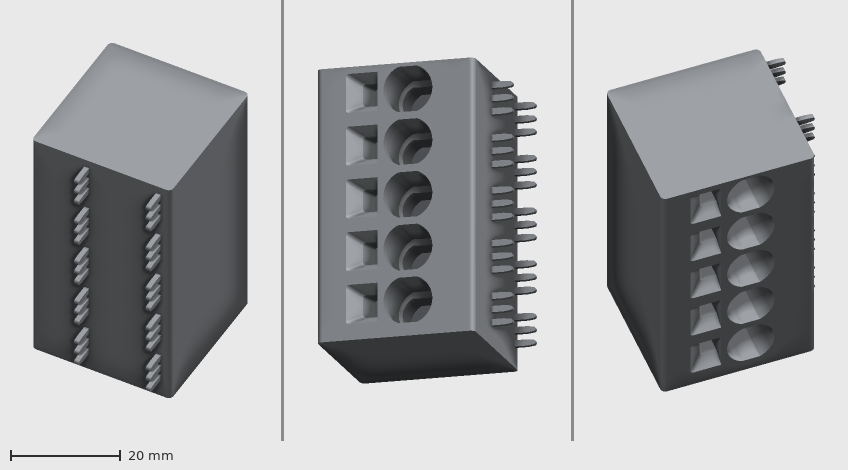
import cadquery as cq
import math

width = 29.0
depth = 30.0
height = 51.8
corner_radius = 1.0

pole_count = 5
pole_pitch = 10.0
first_pole_drop = 4.83
opening_drop = 0.18

pin_columns_x = (-3.0, 11.9)
pins_per_pole = 3
pin_pitch = 2.5
pin_width = 1.0
pin_thickness = 1.2
pin_straight = 2.35
pin_taper_end = 3.6
pin_length = 4.03
pin_taper_half = 0.45
pin_root = 1.0

release_near_y = 18.45
release_mouth_far_y = 24.45
release_throat_far_y = 21.85
release_floor_far_y = 20.75
release_mouth_height = 7.4
release_throat_height = 4.3
release_mouth_depth = 2.3
release_shaft_depth = 4.0
release_corner_radius = 0.6

entry_y = 12.65
bore_radius = 4.65
bore_half_height = 4.3
bore_depth = 10.0
funnel_angle = 55.0
shaft_depth = 6.0
shaft_half_height = 3.27
shaft_near_reach = 3.3
shaft_round_reach = 4.05
shaft_round_start = 2.0

side_x = -width / 2
pole_levels = [height / 2 - first_pole_drop - i * pole_pitch for i in range(pole_count)]


def side_plane(level, inset):
    """Plane parallel to the -X side; local x runs along +Y and local y along +Z."""
    return cq.Plane(origin=(side_x + inset, 0, level), xDir=(0, 1, 0), normal=(1, 0, 0))


def make_housing():
    block = cq.Workplane("XY").box(width, depth, height).translate((0, depth / 2, 0))
    return block.edges("|Z").fillet(corner_radius)


def make_pin(x, z):
    """Flat pin pointing along -Y, tapered near its rounded tip."""
    half = pin_thickness / 2
    profile = (
        cq.Workplane("YZ", origin=(x - pin_width / 2, 0, z))
        .moveTo(pin_root, -half)
        .lineTo(-pin_straight, -half)
        .lineTo(-pin_taper_end, -pin_taper_half)
        .threePointArc((-pin_length, 0), (-pin_taper_end, pin_taper_half))
        .lineTo(-pin_straight, half)
        .lineTo(pin_root, half)
        .close()
    )
    return profile.extrude(pin_width)


def release_section(level, inset, far_y, section_height):
    """Rectangular outline with the two corners on its +Y side rounded."""
    half = section_height / 2
    r = release_corner_radius
    k = r * (1 - math.sqrt(0.5))
    return (
        cq.Workplane(side_plane(level, inset))
        .moveTo(release_near_y, -half)
        .lineTo(far_y - r, -half)
        .threePointArc((far_y - k, -half + k), (far_y, -half + r))
        .lineTo(far_y, half - r)
        .threePointArc((far_y - k, half - k), (far_y - r, half))
        .lineTo(release_near_y, half)
        .close()
        .wire()
        .val()
    )


def make_release_opening(level):
    floor_inset = release_mouth_depth + release_shaft_depth
    mouth = release_section(level, 0, release_mouth_far_y, release_mouth_height)
    throat = release_section(level, release_mouth_depth, release_throat_far_y, release_throat_height)
    floor = release_section(level, floor_inset, release_floor_far_y, release_throat_height)
    funnel = cq.Solid.makeLoft([mouth, throat], True)
    shaft = cq.Solid.makeLoft([throat, floor], True)
    return cq.Workplane(funnel).union(cq.Workplane(shaft))


def make_wire_entry(level):
    bore = cq.Workplane(side_plane(level, 0)).center(entry_y, 0).circle(bore_radius).extrude(bore_depth)

    funnel_length = (bore_radius - shaft_half_height) / math.tan(math.radians(funnel_angle))
    funnel = cq.Workplane(
        cq.Solid.makeCone(
            bore_radius,
            shaft_half_height,
            funnel_length,
            pnt=cq.Vector(side_x + bore_depth, entry_y, level),
            dir=cq.Vector(1, 0, 0),
        )
    )
    flats = (
        cq.Workplane(side_plane(level, 0))
        .center(entry_y, 0)
        .rect(2 * bore_radius, 2 * bore_half_height)
        .extrude(bore_depth + funnel_length)
    )
    shaft = (
        cq.Workplane(side_plane(level, bore_depth))
        .center(entry_y, 0)
        .moveTo(-shaft_near_reach, -shaft_half_height)
        .lineTo(shaft_round_start, -shaft_half_height)
        .threePointArc((shaft_round_reach, 0), (shaft_round_start, shaft_half_height))
        .lineTo(-shaft_near_reach, shaft_half_height)
        .close()
        .extrude(shaft_depth)
    )
    return bore.union(funnel).intersect(flats).union(shaft)


def build():
    part = make_housing()
    for level in pole_levels:
        opening_level = level - opening_drop
        part = part.cut(make_release_opening(opening_level))
        part = part.cut(make_wire_entry(opening_level))
        for x in pin_columns_x:
            for i in range(pins_per_pole):
                pin_level = level + (i - (pins_per_pole - 1) / 2) * pin_pitch
                part = part.union(make_pin(x, pin_level))
    return part


result = build()